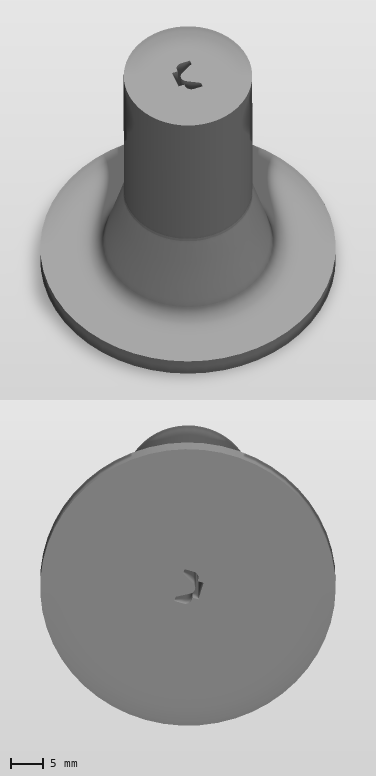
import cadquery as cq
import math

flange_diameter = 46.0
post_diameter = 20.0
total_height = 45.0
flange_thickness = 3.0

foot_height = 14.0
foot_angle = 14.7
foot_blend_radius = 2.02

key_half_width = 2.75
key_top = 1.4
key_bottom = -2.1
shoulder_y = -1.15
notch_half_width = 1.43
shoulder_radius = 1.0
v_half_angle = 30.0
v_tip_radius = 1.0
cut_margin = 0.45


def make_body():
    """Flange, conical foot and post, turned about Z with blended joints."""
    post_radius = post_diameter / 2
    foot_top = flange_thickness + foot_height
    foot_radius = post_radius + foot_height * math.tan(math.radians(foot_angle))
    body = (
        cq.Workplane("XZ")
        .moveTo(0, 0)
        .lineTo(flange_diameter / 2, 0)
        .lineTo(flange_diameter / 2, flange_thickness)
        .lineTo(foot_radius, flange_thickness)
        .lineTo(post_radius, foot_top)
        .lineTo(post_radius, total_height)
        .lineTo(0, total_height)
        .close()
        .revolve(360, (0, 0, 0), (0, 1, 0))
    )

    joints = [(foot_radius, flange_thickness), (post_radius, foot_top)]
    joint_edges = [
        edge
        for edge in body.edges("%CIRCLE").vals()
        for radius, height in joints
        if math.isclose(edge.radius(), radius) and math.isclose(edge.Center().z, height)
    ]
    return body.newObject(joint_edges).fillet(foot_blend_radius)


def make_keyway():
    """Through cutter for the keyway, with the V-shaped ward left standing."""
    height = total_height + 2 * cut_margin
    base = cq.Workplane("XY").workplane(offset=-cut_margin)
    slot = (
        base.center(0, (key_top + shoulder_y) / 2)
        .rect(2 * key_half_width, key_top - shoulder_y)
        .extrude(height)
        .edges("|Z and <Y")
        .fillet(shoulder_radius)
    )
    notch = (
        base.center(0, (key_top + key_bottom) / 2)
        .rect(2 * notch_half_width, key_top - key_bottom)
        .extrude(height)
    )
    slope = math.radians(v_half_angle)
    apex_y = shoulder_y - v_tip_radius * (1 / math.sin(slope) - 1)
    ward_top = key_top + cut_margin
    ward_half_width = (ward_top - apex_y) * math.tan(slope)
    ward = (
        base.moveTo(0, apex_y)
        .lineTo(ward_half_width, ward_top)
        .lineTo(-ward_half_width, ward_top)
        .close()
        .extrude(height)
        .edges("|Z and <Y")
        .fillet(v_tip_radius)
    )
    return slot.union(notch).cut(ward)


result = make_body().cut(make_keyway())